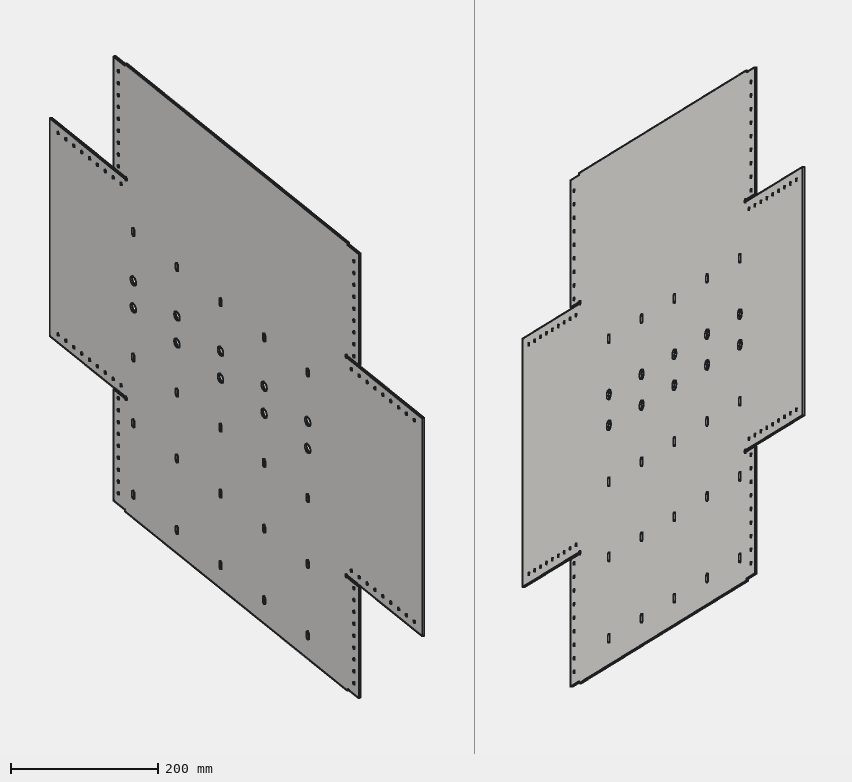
import cadquery as cq

sheet_thickness = 3.2
overall_width = 908.0
overall_height = 722.0
arm_height = 351.5

flange_outer_x = 299.0
flange_inner_x = 271.5
flange_setback = 3.0

slit_width = 3.0
slit_end_x = 269.0
relief_diameter = 5.0

rivet_diameter = 4.1
rivet_count = 9
rivet_row_length = 153.5
flange_rivet_x = 287.0
flange_rivet_first_z = 187.0
arm_rivet_first_x = 281.0
arm_rivet_z = 163.0

column_count = 5
column_pitch = 106.0
pattern_center_x = -38.0
slot_length = 13.0
slot_width = 6.0
slot_row_heights = (101.0, -102.0, -208.0, -323.0)
round_hole_diameter = 14.0
round_hole_row_z = 22.0

rivet_pitch = rivet_row_length / (rivet_count - 1)
panel_half_height = overall_height / 2
arm_half_height = arm_height / 2
flange_height = 2 * (panel_half_height - flange_setback)
corner_signs = [(sx, sz) for sx in (-1, 1) for sz in (-1, 1)]
column_xs = [pattern_center_x + (i - (column_count - 1) / 2) * column_pitch for i in range(column_count)]


def sheet_sketch():
    """Workplane at mid-thickness facing -Y: local x and y are the part's X and Z."""
    return cq.Workplane("XZ")


def plate(width, height):
    return sheet_sketch().rect(width, height).extrude(sheet_thickness / 2, both=True)


def round_cutters(points, diameter):
    return sheet_sketch().pushPoints(points).circle(diameter / 2).extrude(sheet_thickness, both=True)


def blank():
    panel = plate(2 * flange_inner_x, overall_height)
    flanges = plate(2 * flange_outer_x, flange_height)
    arms = plate(overall_width, arm_height)
    return panel.union(flanges).union(arms)


def slit_cutters():
    """Slits along the arm edges, open at the flange edges, with their relief holes."""
    slit_z = arm_half_height + slit_width / 2
    slit_length = flange_outer_x - slit_end_x
    slit_center_x = slit_end_x + slit_length / 2
    slits = (
        sheet_sketch()
        .pushPoints([(sx * slit_center_x, sz * slit_z) for sx, sz in corner_signs])
        .rect(slit_length, slit_width)
        .extrude(sheet_thickness, both=True)
    )
    relief_points = [(sx * slit_end_x, sz * slit_z) for sx, sz in corner_signs]
    return slits.union(round_cutters(relief_points, relief_diameter))


def rivet_cutters():
    points = []
    for sx, sz in corner_signs:
        for i in range(rivet_count):
            points.append((sx * flange_rivet_x, sz * (flange_rivet_first_z + i * rivet_pitch)))
            points.append((sx * (arm_rivet_first_x + i * rivet_pitch), sz * arm_rivet_z))
    return round_cutters(points, rivet_diameter)


def slot_cutters():
    points = [(x, z) for x in column_xs for z in slot_row_heights]
    slots = sheet_sketch().pushPoints(points).slot2D(slot_length, slot_width, 90)
    return slots.extrude(sheet_thickness, both=True)


def mounting_hole_cutters():
    points = [(x, sz * round_hole_row_z) for x in column_xs for sz in (-1, 1)]
    return round_cutters(points, round_hole_diameter)


result = (
    blank()
    .cut(slit_cutters())
    .cut(rivet_cutters())
    .cut(slot_cutters())
    .cut(mounting_hole_cutters())
)